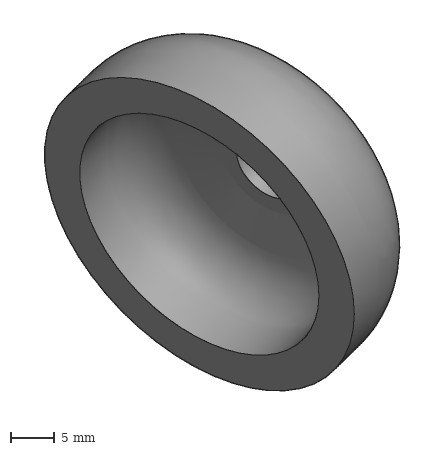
import cadquery as cq
import math

outer_radius = 22.0
height = 18.0
wall = 5.0
rim_height = 5.0
shoulder_radius = 12.0
cone_angle = math.radians(15)
seat_radius = 6.5
hole_radius = 4.25

inner_radius = outer_radius - wall
arc_center_radius = outer_radius - shoulder_radius
inner_shoulder_radius = shoulder_radius - wall


def shoulder_point(radius, angle):
    """Point (radial, axial) on a shoulder arc, angle measured from the radial direction."""
    return (
        arc_center_radius + radius * math.cos(angle),
        rim_height + radius * math.sin(angle),
    )


arc_end = math.pi / 2 - cone_angle
outer_mid = shoulder_point(shoulder_radius, arc_end / 2)
outer_end = shoulder_point(shoulder_radius, arc_end)
inner_mid = shoulder_point(inner_shoulder_radius, arc_end / 2)
inner_end = shoulder_point(inner_shoulder_radius, arc_end)

top_radius = outer_end[0] - (height - outer_end[1]) / math.tan(cone_angle)
seat_height = inner_end[1] + (inner_end[0] - seat_radius) * math.tan(cone_angle)

section = (
    cq.Workplane("XY")
    .moveTo(inner_radius, 0)
    .lineTo(outer_radius, 0)
    .lineTo(outer_radius, rim_height)
    .threePointArc(outer_mid, outer_end)
    .lineTo(top_radius, height)
    .lineTo(hole_radius, height)
    .lineTo(hole_radius, seat_height)
    .lineTo(seat_radius, seat_height)
    .lineTo(*inner_end)
    .threePointArc(inner_mid, (inner_radius, rim_height))
    .close()
)
result = section.revolve(360, (0, 0, 0), (0, 1, 0))